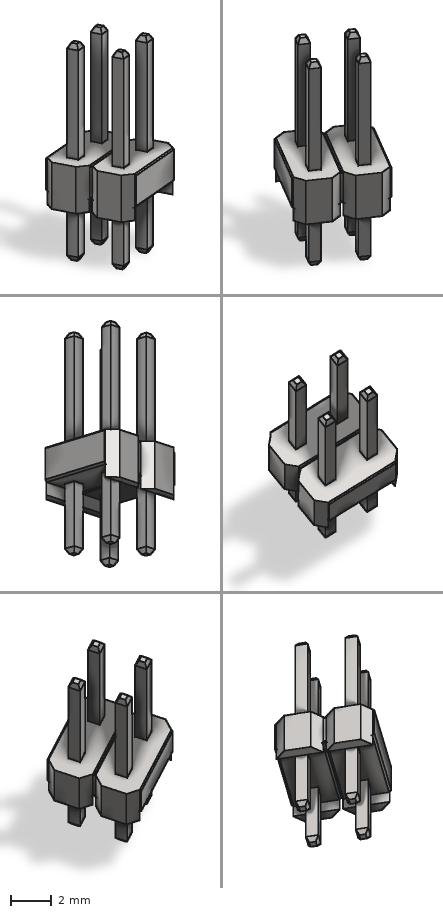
import cadquery as cq

pitch = 2.54
columns = 2
rows = 2

housing_height = 2.5
housing_depth = rows * pitch
corner_cut_x = 0.52
corner_cut_y = 0.5
side_recess = 0.075
block_width = pitch - 2 * side_recess

band_length = housing_depth - 2 * corner_cut_y
channel_height = 0.68
band_bottom_bevel = 0.115
band_top_bevel = side_recess

pin_width = 0.64
pin_length = 11.6
pin_below_housing = 3.0
tip_height = 0.28
tip_width = 0.32

column_centers = [(i - (columns - 1) / 2) * pitch for i in range(columns)]
row_centers = [(i - (rows - 1) / 2) * pitch for i in range(rows)]


def make_octagonal_block(x_center):
    """Full-height block of one column, with its four vertical corners cut off."""
    half_width = block_width / 2
    half_depth = housing_depth / 2
    return (
        cq.Workplane("XY")
        .moveTo(0, half_depth)
        .lineTo(half_width - corner_cut_x, half_depth)
        .lineTo(half_width, half_depth - corner_cut_y)
        .lineTo(half_width, 0)
        .mirrorX()
        .mirrorY()
        .extrude(housing_height)
        .translate((x_center, 0, 0))
    )


def make_band(x_center):
    """Bevelled bar as wide as the pitch, which joins the neighbouring columns."""
    half_width = pitch / 2
    profile = [
        (half_width - band_bottom_bevel, channel_height),
        (half_width, channel_height + band_bottom_bevel),
        (half_width, housing_height - band_top_bevel),
        (half_width - band_top_bevel, housing_height),
    ]
    mirrored_profile = [(-x, z) for x, z in reversed(profile)]
    return (
        cq.Workplane("XZ")
        .polyline(profile + mirrored_profile)
        .close()
        .extrude(band_length / 2, both=True)
        .translate((x_center, 0, 0))
    )


def make_pin(x_center, y_center):
    """Square pin with a tapered tip at each end."""
    shank_length = pin_length - 2 * tip_height
    shank = cq.Workplane("XY").box(pin_width, pin_width, shank_length)
    tip = (
        cq.Workplane("XY", origin=(0, 0, shank_length / 2))
        .rect(pin_width, pin_width)
        .workplane(offset=tip_height)
        .rect(tip_width, tip_width)
        .loft(ruled=True)
    )
    pin_middle_z = pin_length / 2 - pin_below_housing
    return shank.union(tip).union(tip.mirror("XY")).translate((x_center, y_center, pin_middle_z))


def make_housing():
    """End legs from the octagonal blocks, with the bands between them, pierced for the pins."""
    middle = cq.Workplane("XY").box(
        columns * pitch, band_length, housing_height, centered=(True, True, False)
    )
    body = cq.Workplane("XY")
    for x in column_centers:
        end_legs = make_octagonal_block(x).cut(middle)
        body = body.union(make_band(x).union(end_legs))
    pin_holes = (
        cq.Workplane("XY")
        .pushPoints([(x, y) for x in column_centers for y in row_centers])
        .rect(pin_width, pin_width)
        .extrude(housing_height)
    )
    return body.cut(pin_holes)


housing = make_housing()
pins = [make_pin(x, y) for x in column_centers for y in row_centers]

result = cq.Compound.makeCompound([housing.val(), *[pin.val() for pin in pins]])